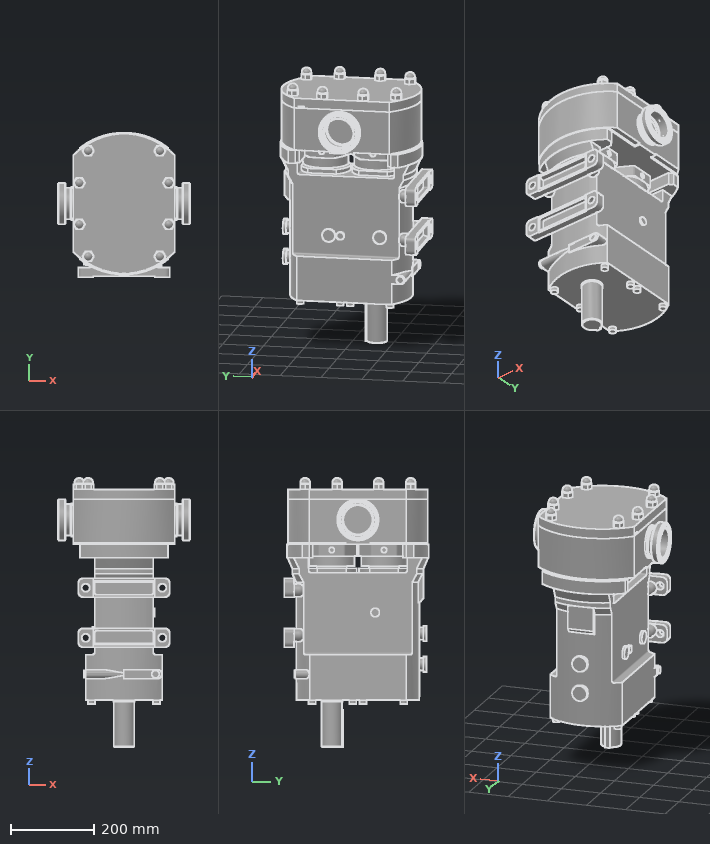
import cadquery as cq
import math


BASE_Z = 113.0
SHOULDER_Z = 223.0
SEAL_FLOOR_Z = 419.5
FLANGE_BOTTOM_Z = 455.0
FLANGE_TOP_Z = 487.5
CASE_BOTTOM_Z = 491.5
COVER_BOTTOM_Z = 595.5
COVER_TOP_Z = 619.5
TOP_Z = 647.5

BARREL_R = 148.0
BAND_R = 158.0
BAND_BOTTOM_Z = 416.0
BAND_TOP_Z = 429.0
BAND_TAPER_Z = 396.0
FLANGE_UNDER_R = 169.5
FLANGE_R = 171.0
BASE_HALF_X = 92.0
WAIST_HALF_X = 70.5
FLANGE_HALF_X = 106.0
SHOULDER_FILLET = 5.0

SHAFT_OFFSET_Y = 63.0
SHAFT_D = 50.0
SHAFT_R = SHAFT_D / 2
SHAFT_CHAMFER = 2.0
SHAFT_COLLAR_R = 26.0
SHAFT_COLLAR_H = 4.0
KEY_LENGTH = 90.0
KEY_WIDTH = 13.0
KEY_RISE = 2.5
SEAL_R = 55.0
PEDESTAL_R = 60.0
PEDESTAL_HALF_X = 49.0
PEDESTAL_TOP_Z = 430.5
SEAL_NECK_R = 36.0
SEAL_RING_BOTTOM_Z = 435.0
SEAL_RING_TOP_Z = 459.0
SEAL_BLOCK_CORNER_R = 62.0
SEAL_BLOCK_ROUND = 6.5
SEAL_SCREW_R = 6.5
SEAL_SCREW_DEPTH = 4.0
SEAL_SCREW_Z = 474.0
WINDOW_HALF_Y = SHAFT_OFFSET_Y + SEAL_R + 0.5
FLANGE_WINDOW_HALF_Y = 108.0
WINDOW_ROUND = 8.5
WINDOW_FLOOR_ROUND = 5.0

FOOT_MIDDLES_Z = (263.0, 383.0)
FOOT_HALF_X = 110.0
FOOT_HEIGHT = 46.0
FOOT_BACK_Y = -153.5
FOOT_FRONT_Y = -177.5
FOOT_CORNER_R = 12.0
FOOT_HOLE_X = 92.0
FOOT_HOLE_D = 19.0
FOOT_RELIEF_HALF_X = 74.0
FOOT_RELIEF_DEPTH = 2.5
FOOT_POCKET_HALF_X = 70.5
FOOT_POCKET_DEPTH = 13.0
FOOT_POCKET_CORNER_R = 5.0
FOOT_POCKET_RIM = 6.0
FOOT_POCKET_DRAFT = 4.5
FOOT_BOSS_R = 15.5
FOOT_BOSS_X = 68.0
FOOT_BOSS_REAR_Y = -131.0
FOOT_BOSS_SHIFT = 6.5
FOOT_BOSS_ROUND = 9.0

OIL_PIPE_Z = 175.5
OIL_PIPE_R = 11.0
OIL_PIPE_Y = -138.0
OIL_PIPE_FLAT_DEPTH = 0.3
OIL_PIPE_FLAT_Y = OIL_PIPE_Y - OIL_PIPE_R + OIL_PIPE_FLAT_DEPTH
OIL_PAD_FRONT_Y = -150.0
OIL_PAD_END_X = 90.5
OIL_PAD_ROUND = 10.5
OIL_PLUG_R = 9.0
OIL_PLUG_X = 76.0
OIL_PIPE_PLUG_PROUD = 4.5
OIL_PAD_PLUG_PROUD = 2.5
SIDE_PLUGS = ((41.5, 273.0, 32.0), (-83.5, 273.0, 32.0), (13.0, 273.0, 19.0))
SIDE_PLUG_PROUD = 6.0
FAR_SIDE_PLUG_Y = 41.5
FAR_SIDE_PLUG_Z = 324.0
FAR_SIDE_PLUG_R = 10.5
FAR_SIDE_PLUG_PROUD = 4.0
REAR_PLUGS_Z = (199.5, 273.0)
REAR_PLUG_NECK_R = 15.5
REAR_PLUG_HEAD_D = 38.0
REAR_PLUG_HEAD_Y = 157.0
REAR_PLUG_END_Y = 165.0
RIB_HALF_X = 32.5
RIB_ROOT_Y = 129.5
RIB_OUTER_Y = 158.0
RIB_TOP_Z = 417.0
RIB_TAPER_Z = 358.0
RIB_BOTTOM_Z = 347.0
BASE_SCREW_X = 78.5
BASE_SCREWS_Y = (110.0, 12.0, -12.0, -110.0)
BASE_SCREW_D = 17.5
BASE_SCREW_H = 10.0

CASE_D = 337.0
CASE_WIDTH = 244.0
CASE_R = CASE_D / 2
CASE_HALF_X = CASE_WIDTH / 2
REGISTER_R = 167.0
LIP_HALF_Y = 30.0
PORT_Z = 546.5
PORT_SPAN = 318.0
PORT_END_X = PORT_SPAN / 2
PORT_FLANGE_R = 50.0
PORT_FLANGE_INNER_X = 140.0
PORT_FLANGE_CHAMFER = 2.5
PORT_NECK_R = 38.0
PORT_ROOT_R = 40.0
PORT_ROOT_LENGTH = 4.5
PORT_GROOVE_R = 36.0
PORT_GROOVE_LENGTH = 2.5
PORT_BORE_R = 35.0
PORT_BORE_BEVEL = 2.5
PORT_FACE_GROOVE_OUTER_R = 45.0
PORT_FACE_GROOVE_INNER_R = 42.0
PORT_FACE_GROOVE_DEPTH = 1.0
NUT_PLACES = ((86.0, 127.0), (107.5, 50.0))
NUT_ACROSS_CORNERS = 28.0
NUT_HEX_TOP_Z = 632.0
NUT_SHOULDER_TOP_Z = 634.5
NUT_DOME_D = 24.0
NUT_DOME_R = NUT_DOME_D / 2
PRY_NOTCH_Y = 100.0
PRY_NOTCH_WIDTH = 14.0
PRY_NOTCH_HEIGHT = 4.0
PRY_NOTCH_DEPTH = 4.0


def block(x_range, y_range, z_range):
    """Box given by its limits along each axis."""
    sizes = [high - low for low, high in (x_range, y_range, z_range)]
    corner = (x_range[0], y_range[0], z_range[0])
    return cq.Workplane("XY").box(*sizes, centered=False).translate(corner)


def rod(start, direction, radius, length):
    """Cylinder from a start point along a direction."""
    return cq.Workplane(cq.Solid.makeCylinder(radius, length, cq.Vector(*start), cq.Vector(*direction)))


def flat_sided_disc(radius, half_x, bottom_z, top_z):
    """Round slab about the Z axis, cut flat at both X sides."""
    disc = rod((0, 0, bottom_z), (0, 0, 1), radius, top_z - bottom_z)
    return disc.intersect(block((-half_x, half_x), (-radius, radius), (bottom_z, top_z)))


def seal_block(side, bottom_z, top_z):
    """Hexagonal seal block around one shaft, with rounded corners and flats facing +X and -X."""
    return (
        cq.Workplane("XY", origin=(0, side * SHAFT_OFFSET_Y, bottom_z))
        .transformed(rotate=(0, 0, 90))
        .polygon(6, 2 * SEAL_BLOCK_CORNER_R)
        .extrude(top_z - bottom_z)
        .edges("|Z")
        .fillet(SEAL_BLOCK_ROUND)
    )


def gear_case_shell():
    """Barrel with a wide base, narrow waist and wide flange."""
    barrel = (
        cq.Workplane("XZ")
        .moveTo(0, BASE_Z)
        .lineTo(BARREL_R, BASE_Z)
        .lineTo(BARREL_R, BAND_TAPER_Z)
        .lineTo(BAND_R, BAND_BOTTOM_Z)
        .lineTo(BAND_R, BAND_TOP_Z)
        .lineTo(FLANGE_UNDER_R, FLANGE_BOTTOM_Z)
        .lineTo(FLANGE_R, FLANGE_BOTTOM_Z)
        .lineTo(FLANGE_R, FLANGE_TOP_Z)
        .lineTo(0, FLANGE_TOP_Z)
        .close()
        .revolve(360, (0, 0, 0), (0, 1, 0))
    )
    front = (
        cq.Workplane("XZ")
        .moveTo(-BASE_HALF_X, BASE_Z)
        .lineTo(BASE_HALF_X, BASE_Z)
        .lineTo(BASE_HALF_X, SHOULDER_Z)
        .lineTo(WAIST_HALF_X + SHOULDER_FILLET, SHOULDER_Z)
        .radiusArc((WAIST_HALF_X, SHOULDER_Z + SHOULDER_FILLET), SHOULDER_FILLET)
        .lineTo(WAIST_HALF_X, FLANGE_BOTTOM_Z)
        .lineTo(FLANGE_HALF_X, FLANGE_BOTTOM_Z)
        .lineTo(FLANGE_HALF_X, FLANGE_TOP_Z)
        .lineTo(-FLANGE_HALF_X, FLANGE_TOP_Z)
        .lineTo(-FLANGE_HALF_X, FLANGE_BOTTOM_Z)
        .lineTo(-WAIST_HALF_X, FLANGE_BOTTOM_Z)
        .lineTo(-WAIST_HALF_X, SHOULDER_Z + SHOULDER_FILLET)
        .radiusArc((-WAIST_HALF_X - SHOULDER_FILLET, SHOULDER_Z), SHOULDER_FILLET)
        .lineTo(-BASE_HALF_X, SHOULDER_Z)
        .close()
        .extrude(FLANGE_R, both=True)
    )
    return barrel.intersect(front)


def seal_window():
    """Space cut through the flange and waist along X for the two shaft seals."""
    through = (-FLANGE_HALF_X, FLANGE_HALF_X)
    lower = block(through, (-WINDOW_HALF_Y, WINDOW_HALF_Y), (SEAL_FLOOR_Z, FLANGE_BOTTOM_Z))
    lower = lower.edges("|X and <Z").fillet(WINDOW_FLOOR_ROUND)
    flared_y = FLANGE_WINDOW_HALF_Y + WINDOW_ROUND
    round_x = FLANGE_HALF_X - WINDOW_ROUND
    upper = (
        cq.Workplane("XY", origin=(0, 0, FLANGE_BOTTOM_Z))
        .moveTo(FLANGE_HALF_X, -flared_y)
        .lineTo(FLANGE_HALF_X, flared_y)
        .radiusArc((round_x, FLANGE_WINDOW_HALF_Y), -WINDOW_ROUND)
        .lineTo(-round_x, FLANGE_WINDOW_HALF_Y)
        .radiusArc((-FLANGE_HALF_X, flared_y), -WINDOW_ROUND)
        .lineTo(-FLANGE_HALF_X, -flared_y)
        .radiusArc((-round_x, -FLANGE_WINDOW_HALF_Y), -WINDOW_ROUND)
        .lineTo(round_x, -FLANGE_WINDOW_HALF_Y)
        .radiusArc((FLANGE_HALF_X, -flared_y), -WINDOW_ROUND)
        .close()
        .extrude(FLANGE_TOP_Z - FLANGE_BOTTOM_Z)
    )
    window = lower.union(upper)
    for side in (-1, 1):
        ring_height = FLANGE_TOP_Z - FLANGE_BOTTOM_Z
        ring_space = rod((0, side * SHAFT_OFFSET_Y, FLANGE_BOTTOM_Z), (0, 0, 1), SEAL_R, ring_height)
        window = window.union(ring_space).union(seal_block(side, SEAL_RING_TOP_Z, FLANGE_TOP_Z))
    return window


def seal_pedestals():
    """Flat-sided shaft collars on the floor of the seal window."""
    height = PEDESTAL_TOP_Z - SEAL_FLOOR_Z
    pedestals = cq.Workplane("XY")
    for side in (-1, 1):
        collar = rod((0, side * SHAFT_OFFSET_Y, SEAL_FLOOR_Z), (0, 0, 1), PEDESTAL_R, height)
        pedestals = pedestals.add(collar)
    flats = block(
        (-PEDESTAL_HALF_X, PEDESTAL_HALF_X),
        (-WINDOW_HALF_Y, WINDOW_HALF_Y),
        (SEAL_FLOOR_Z, PEDESTAL_TOP_Z),
    )
    return pedestals.combine().intersect(flats)


def drive_shaft():
    """Keyed shaft end below the base."""
    shaft = rod((0, -SHAFT_OFFSET_Y, 0), (0, 0, 1), SHAFT_R, BASE_Z).faces("<Z").chamfer(SHAFT_CHAMFER)
    collar_bottom = (0, -SHAFT_OFFSET_Y, BASE_Z - SHAFT_COLLAR_H)
    collar = rod(collar_bottom, (0, 0, 1), SHAFT_COLLAR_R, SHAFT_COLLAR_H)
    key_outer_y = -SHAFT_OFFSET_Y + SHAFT_R + KEY_RISE
    key = block((-KEY_WIDTH / 2, KEY_WIDTH / 2), (-SHAFT_OFFSET_Y, key_outer_y), (0, KEY_LENGTH))
    return shaft.union(collar).union(key)


def foot(middle_z):
    """Bolted bar along X with a relieved, pocketed front and two bosses into the gear case."""
    middle_of_feet_z = sum(FOOT_MIDDLES_Z) / len(FOOT_MIDDLES_Z)
    inward = 1 if middle_z < middle_of_feet_z else -1
    bar = (
        block(
            (-FOOT_HALF_X, FOOT_HALF_X),
            (FOOT_FRONT_Y, FOOT_BACK_Y),
            (-FOOT_HEIGHT / 2, FOOT_HEIGHT / 2),
        )
        .edges("|Y")
        .fillet(FOOT_CORNER_R)
    )
    relief_y = FOOT_FRONT_Y + FOOT_RELIEF_DEPTH
    relief = block(
        (-FOOT_RELIEF_HALF_X, FOOT_RELIEF_HALF_X),
        (FOOT_FRONT_Y, relief_y),
        (-FOOT_HEIGHT / 2, FOOT_HEIGHT / 2),
    )
    floor_y = relief_y + FOOT_POCKET_DEPTH
    rim_z = inward * (FOOT_HEIGHT / 2 - FOOT_POCKET_RIM)
    pocket = (
        cq.Workplane("YZ")
        .polyline(
            [
                (relief_y, rim_z),
                (floor_y, rim_z),
                (floor_y, -rim_z + inward * FOOT_POCKET_DRAFT),
                (relief_y, -rim_z),
            ]
        )
        .close()
        .extrude(FOOT_POCKET_HALF_X, both=True)
        .edges("|Y")
        .fillet(FOOT_POCKET_CORNER_R)
    )
    bar = bar.cut(relief).cut(pocket)
    boss_length = FOOT_BOSS_REAR_Y - FOOT_BACK_Y
    for side in (-1, 1):
        hole_start = (side * FOOT_HOLE_X, FOOT_FRONT_Y, 0)
        bar = bar.cut(rod(hole_start, (0, 1, 0), FOOT_HOLE_D / 2, FOOT_BACK_Y - FOOT_FRONT_Y))
        boss_start = (side * FOOT_BOSS_X, FOOT_BACK_Y, inward * FOOT_BOSS_SHIFT)
        boss = rod(boss_start, (0, 1, 0), FOOT_BOSS_R, boss_length)
        bar = bar.union(boss.faces(">Y").edges().fillet(FOOT_BOSS_ROUND))
    return bar.translate((0, 0, middle_z))


def oil_fittings():
    """Cross pipe towards -X and a rounded pad towards +X, each with a plug, low on the -Y side."""
    z_range = (OIL_PIPE_Z - OIL_PIPE_R, OIL_PIPE_Z + OIL_PIPE_R)
    inner_y = -math.sqrt(BARREL_R**2 - BASE_HALF_X**2)
    pipe = rod((-BASE_HALF_X, OIL_PIPE_Y, OIL_PIPE_Z), (1, 0, 0), OIL_PIPE_R, BASE_HALF_X)
    pipe = pipe.intersect(block((-BASE_HALF_X, 0), (OIL_PIPE_FLAT_Y, 0), z_range))
    web = block((-BASE_HALF_X, 0), (OIL_PIPE_Y, inner_y), z_range)
    pipe_plug = rod(
        (-BASE_HALF_X - OIL_PIPE_PLUG_PROUD, OIL_PIPE_Y, OIL_PIPE_Z), (1, 0, 0), OIL_PLUG_R, BASE_HALF_X
    )
    pad = block((0, OIL_PAD_END_X), (OIL_PAD_FRONT_Y, inner_y), z_range)
    pad = pad.edges("|Y and >X").fillet(OIL_PAD_ROUND)
    pad_plug_start = (OIL_PLUG_X, OIL_PAD_FRONT_Y - OIL_PAD_PLUG_PROUD, OIL_PIPE_Z)
    pad_plug = rod(pad_plug_start, (0, 1, 0), OIL_PLUG_R, OIL_PAD_PLUG_PROUD)
    return pipe.union(web).union(pipe_plug).union(pad).union(pad_plug)


def side_plugs():
    """Round plugs standing a little proud of the waist flats."""
    plugs = cq.Workplane("XY")
    for y, z, diameter in SIDE_PLUGS:
        plugs = plugs.add(rod((-WAIST_HALF_X, y, z), (-1, 0, 0), diameter / 2, SIDE_PLUG_PROUD))
    far_start = (WAIST_HALF_X, FAR_SIDE_PLUG_Y, FAR_SIDE_PLUG_Z)
    return plugs.add(rod(far_start, (1, 0, 0), FAR_SIDE_PLUG_R, FAR_SIDE_PLUG_PROUD)).combine()


def rear_plugs():
    """Two headed plugs on the +Y side."""
    plugs = cq.Workplane("XY")
    for z in REAR_PLUGS_Z:
        neck = rod((0, 0, z), (0, 1, 0), REAR_PLUG_NECK_R, REAR_PLUG_END_Y)
        head_thickness = REAR_PLUG_END_Y - REAR_PLUG_HEAD_Y
        head = rod((0, REAR_PLUG_HEAD_Y, z), (0, 1, 0), REAR_PLUG_HEAD_D / 2, head_thickness)
        plugs = plugs.add(neck.union(head))
    return plugs.combine()


def rear_rib():
    """Flat rib below the flange on the +Y side, tapering out at its foot."""
    return (
        cq.Workplane("YZ")
        .polyline(
            [
                (RIB_ROOT_Y, RIB_TOP_Z),
                (RIB_OUTER_Y, RIB_TOP_Z),
                (RIB_OUTER_Y, RIB_TAPER_Z),
                (BARREL_R, RIB_BOTTOM_Z),
                (RIB_ROOT_Y, RIB_BOTTOM_Z),
            ]
        )
        .close()
        .extrude(RIB_HALF_X, both=True)
    )


def base_screws():
    """Screw heads under the base, a row along each X side."""
    places = [(side * BASE_SCREW_X, y) for side in (-1, 1) for y in BASE_SCREWS_Y]
    return (
        cq.Workplane("XY", origin=(0, 0, BASE_Z - BASE_SCREW_H))
        .pushPoints(places)
        .circle(BASE_SCREW_D / 2)
        .extrude(BASE_SCREW_H)
    )


def build_gear_case():
    """Gear case with its drive shaft, feet and fittings."""
    case = gear_case_shell().cut(seal_window()).union(seal_pedestals())
    for middle_z in FOOT_MIDDLES_Z:
        case = case.union(foot(middle_z))
    for feature in (drive_shaft(), oil_fittings(), side_plugs(), rear_plugs(), rear_rib(), base_screws()):
        case = case.union(feature)
    return case


def port():
    """Flanged pipe stub along +X, bored as far as the case wall."""
    root_end_x = CASE_HALF_X + PORT_ROOT_LENGTH
    groove_end_x = root_end_x + PORT_GROOVE_LENGTH
    chamfer = PORT_FLANGE_CHAMFER
    return (
        cq.Workplane("XZ")
        .polyline(
            [
                (CASE_HALF_X, PORT_BORE_R),
                (CASE_HALF_X, PORT_ROOT_R),
                (root_end_x, PORT_ROOT_R),
                (root_end_x, PORT_GROOVE_R),
                (groove_end_x, PORT_GROOVE_R),
                (groove_end_x, PORT_NECK_R),
                (PORT_FLANGE_INNER_X, PORT_NECK_R),
                (PORT_FLANGE_INNER_X, PORT_FLANGE_R - chamfer),
                (PORT_FLANGE_INNER_X + chamfer, PORT_FLANGE_R),
                (PORT_END_X - chamfer, PORT_FLANGE_R),
                (PORT_END_X, PORT_FLANGE_R - chamfer),
                (PORT_END_X, PORT_FACE_GROOVE_OUTER_R),
                (PORT_END_X - PORT_FACE_GROOVE_DEPTH, PORT_FACE_GROOVE_OUTER_R),
                (PORT_END_X - PORT_FACE_GROOVE_DEPTH, PORT_FACE_GROOVE_INNER_R),
                (PORT_END_X, PORT_FACE_GROOVE_INNER_R),
                (PORT_END_X, PORT_BORE_R + PORT_BORE_BEVEL),
                (PORT_END_X - PORT_BORE_BEVEL, PORT_BORE_R),
            ]
        )
        .close()
        .revolve(360, (0, 0, 0), (1, 0, 0))
        .translate((0, 0, PORT_Z))
    )


def case_register():
    """Thin step under the rotor case that seats on the flange, with a lip at each X side."""
    register = flat_sided_disc(REGISTER_R, FLANGE_HALF_X, FLANGE_TOP_Z, CASE_BOTTOM_Z)
    lip = block((-CASE_HALF_X, CASE_HALF_X), (-LIP_HALF_Y, LIP_HALF_Y), (FLANGE_TOP_Z, CASE_BOTTOM_Z))
    return register.union(lip)


def shaft_seal(side):
    """Hexagonal block, round ring and narrower neck around one shaft."""
    y = side * SHAFT_OFFSET_Y
    seal = seal_block(side, SEAL_RING_TOP_Z, FLANGE_TOP_Z)
    flat_x = SEAL_BLOCK_CORNER_R * math.cos(math.pi / 6)
    for face in (-1, 1):
        screw_start = (face * flat_x, y, SEAL_SCREW_Z)
        seal = seal.cut(rod(screw_start, (-face, 0, 0), SEAL_SCREW_R, SEAL_SCREW_DEPTH))
    ring = rod((0, y, SEAL_RING_BOTTOM_Z), (0, 0, 1), SEAL_R, SEAL_RING_TOP_Z - SEAL_RING_BOTTOM_Z)
    neck = rod((0, y, PEDESTAL_TOP_Z), (0, 0, 1), SEAL_NECK_R, SEAL_RING_BOTTOM_Z - PEDESTAL_TOP_Z)
    return seal.union(ring).union(neck)


def build_rotor_case():
    """Rotor case with its two ports and the shaft seals below it."""
    case = flat_sided_disc(CASE_R, CASE_HALF_X, CASE_BOTTOM_Z, COVER_BOTTOM_Z).union(case_register())
    right_port = port()
    case = case.union(right_port).union(right_port.mirror("YZ"))
    for side in (-1, 1):
        case = case.union(shaft_seal(side))
    return case


def domed_nut():
    """Hexagon nut with a round shoulder and a domed end, standing on the cover."""
    shoulder_height = NUT_SHOULDER_TOP_Z - NUT_HEX_TOP_Z
    hexagon = (
        cq.Workplane("XY", origin=(0, 0, COVER_TOP_Z))
        .polygon(6, NUT_ACROSS_CORNERS)
        .extrude(NUT_HEX_TOP_Z - COVER_TOP_Z)
    )
    shoulder = rod((0, 0, NUT_HEX_TOP_Z), (0, 0, 1), NUT_DOME_R, shoulder_height)
    dome = (
        cq.Workplane("XY")
        .sphere(NUT_DOME_R)
        .translate((0, 0, TOP_Z - NUT_DOME_R))
        .intersect(block((-NUT_DOME_R, NUT_DOME_R), (-NUT_DOME_R, NUT_DOME_R), (NUT_HEX_TOP_Z, TOP_Z)))
    )
    return hexagon.union(shoulder).union(dome)


def build_cover():
    """Cover plate with eight domed nuts and a pry notch in its lower edge."""
    cover = flat_sided_disc(CASE_R, CASE_HALF_X, COVER_BOTTOM_Z, COVER_TOP_Z)
    notch = block(
        (-CASE_HALF_X, -CASE_HALF_X + PRY_NOTCH_DEPTH),
        (PRY_NOTCH_Y - PRY_NOTCH_WIDTH / 2, PRY_NOTCH_Y + PRY_NOTCH_WIDTH / 2),
        (COVER_BOTTOM_Z, COVER_BOTTOM_Z + PRY_NOTCH_HEIGHT),
    )
    cover = cover.cut(notch)
    nut = domed_nut()
    for x, y in NUT_PLACES:
        for x_side in (-1, 1):
            for y_side in (-1, 1):
                cover = cover.union(nut.translate((x_side * x, y_side * y, 0)))
    return cover


gear_case = build_gear_case().solids()
rotor_case = build_rotor_case().solids()
cover = build_cover().solids()

result = cq.Compound.makeCompound([gear_case.val(), rotor_case.val(), cover.val()])